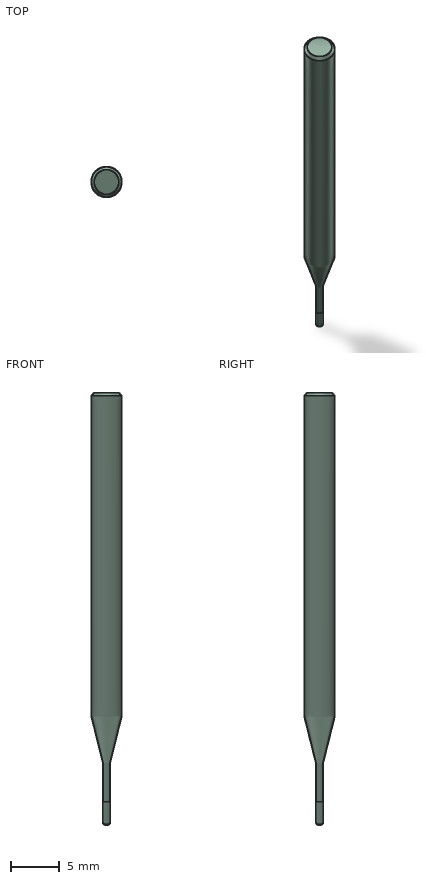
import cadquery as cq
import math

total_length = 44.5
shank_diameter = 3.15
cutter_diameter = 0.8
neck_diameter = 0.75
cutter_length = 2.4
neck_top = 6.4
cone_top = 11.2
end_chamfer = 0.3

shank_radius = shank_diameter / 2
cutter_radius = cutter_diameter / 2
neck_radius = neck_diameter / 2


def revolve_about_z(profile):
    """Turn a closed half profile, drawn in the YZ plane, around the Z axis."""
    return profile.close().revolve(360, (0, 0, 0), (0, 1, 0))


def make_cutter():
    """Short cylinder with a hemispherical tip."""
    arc_middle = cutter_radius * math.sqrt(0.5)
    profile = (
        cq.Workplane("YZ")
        .moveTo(0, 0)
        .threePointArc((-arc_middle, cutter_radius - arc_middle), (-cutter_radius, cutter_radius))
        .lineTo(-cutter_radius, cutter_length)
        .lineTo(0, cutter_length)
    )
    return revolve_about_z(profile)


def make_holder():
    """Slim neck, cone and cylindrical shank with a chamfered end."""
    profile = (
        cq.Workplane("YZ")
        .moveTo(0, cutter_length)
        .lineTo(-neck_radius, cutter_length)
        .lineTo(-neck_radius, neck_top)
        .lineTo(-shank_radius, cone_top)
        .lineTo(-shank_radius, total_length - end_chamfer)
        .lineTo(-shank_radius + end_chamfer, total_length)
        .lineTo(0, total_length)
    )
    return revolve_about_z(profile)


cutter = make_cutter()
holder = make_holder()

result = cq.Compound.makeCompound([cutter.val(), holder.val()])